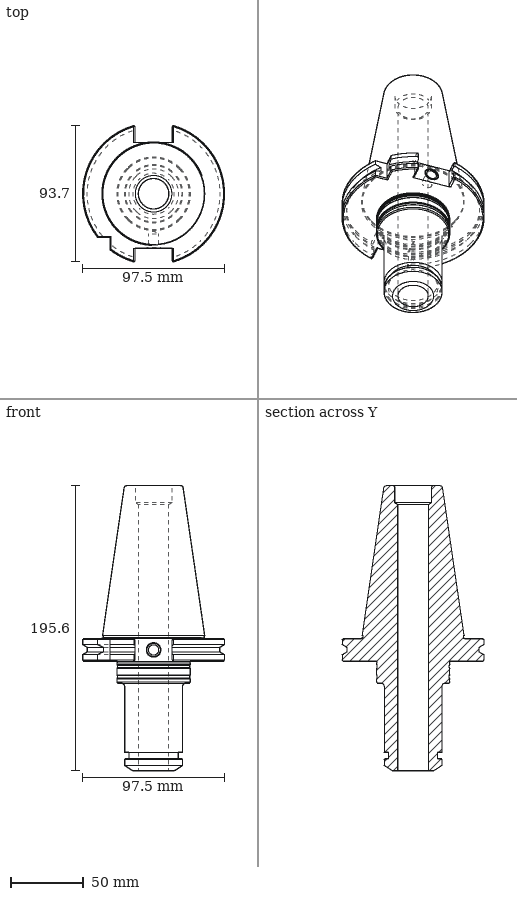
import cadquery as cq
import math


drill_point_angle = 118

overall_length = 195.6
taper_length = 101.7
gauge_diameter = 69.8
taper_rate = 7 / 24
taper_end_fillet = 2.0
neck_diameter = 69.5
neck_fillet = 0.8
taper_overrun = 1.2

flange_diameter = 97.5
flange_top = -3.1
flange_thickness = 15.6
flange_chamfer = 0.8
groove_center = -10.8
groove_floor_width = 3.1
groove_depth = 3.1
groove_half_angle = 30

slot_width = 25.2
slot_chamfer = 1.2
slot_corner_fillet = 0.8
front_slot_floor = 37.4
rear_slot_floor = 35.2
notch_corner = 30.0
notch_chamfer = 0.8

side_hole_diameter = 7.0
side_hole_mouth = 10.0
side_hole_depth = 9.8
side_hole_recess_depth = 0.4

hub_diameter = 50.5
hub_bottom = -33.8
hub_chamfer = 0.8
hub_relief_bottom = -20.0
hub_relief_depth = 0.2
ring_depth = 0.4
ring_floor_width = 1.5
ring_mouth_width = 2.7
ring_centers = (-22.3, -29.3)

shank_diameter = 40.0
shank_fillet = 2.2
neck_groove_diameter = 34.0
neck_groove_top = -81.2
neck_groove_bottom = -85.5
collar_bevel_top = -90.0
collar_chamfer = 0.5
nose_diameter = 28.2

bore_diameter = 20.7
counterbore_diameter = 25.0
counterbore_depth = 11.7
counterbore_fillet = 1.2

bottom = taper_length - overall_length
flange_bottom = flange_top - flange_thickness
flange_radius = flange_diameter / 2
hub_radius = hub_diameter / 2
shank_radius = shank_diameter / 2


def revolve(points):
    """Solid of revolution about Z from (radius, height) points."""
    return cq.Workplane("XZ").polyline(points).close().revolve(360, (0, 0), (0, 1))


def make_taper():
    end_radius = (gauge_diameter - taper_rate * taper_length) / 2
    base_radius = (gauge_diameter + taper_rate * taper_overrun) / 2
    neck_radius = neck_diameter / 2
    taper = (
        cq.Workplane("XZ")
        .moveTo(0, taper_length)
        .lineTo(end_radius, taper_length)
        .lineTo(base_radius, -taper_overrun)
        .lineTo(neck_radius, -taper_overrun)
        .lineTo(neck_radius, flange_top + neck_fillet)
        .radiusArc((neck_radius + neck_fillet, flange_top), -neck_fillet)
        .lineTo(0, flange_top)
        .close()
        .revolve(360, (0, 0), (0, 1))
    )
    return taper.faces(">Z").edges().fillet(taper_end_fillet)


def make_flange():
    flange = (
        cq.Workplane("XY", origin=(0, 0, flange_bottom))
        .circle(flange_radius)
        .extrude(flange_thickness)
        .edges()
        .chamfer(flange_chamfer)
    )
    floor_half = groove_floor_width / 2
    mouth_half = floor_half + groove_depth * math.tan(math.radians(groove_half_angle))
    floor_radius = flange_radius - groove_depth
    groove = revolve([
        (floor_radius, groove_center - floor_half),
        (flange_radius, groove_center - mouth_half),
        (flange_radius, groove_center + mouth_half),
        (floor_radius, groove_center + floor_half),
    ])
    return flange.cut(groove)


def make_drive_slot(side, floor):
    """Slot cutter with chamfered edges; side is -1 for front and +1 for rear."""
    half = slot_width / 2
    rim = math.sqrt(flange_radius ** 2 - half ** 2)
    flare_start = rim - slot_chamfer
    flare = flange_radius - flare_start
    profile = [
        (-half, side * floor),
        (half, side * floor),
        (half, side * flare_start),
        (half + flare, side * flange_radius),
        (-half - flare, side * flange_radius),
        (-half, side * flare_start),
    ]
    slot = (
        cq.Workplane("XY", origin=(0, 0, flange_bottom))
        .polyline(profile)
        .close()
        .extrude(flange_thickness)
    )
    floor_face = "<Y" if side > 0 else ">Y"
    slot = slot.faces(floor_face).edges("|Z").fillet(slot_corner_fillet)

    wide = half + slot_chamfer
    edge_chamfers = (
        cq.Workplane("XZ")
        .polyline([
            (-wide, flange_top),
            (wide, flange_top),
            (half, flange_top - slot_chamfer),
            (half, flange_bottom + slot_chamfer),
            (wide, flange_bottom),
            (-wide, flange_bottom),
            (-half, flange_bottom + slot_chamfer),
            (-half, flange_top - slot_chamfer),
        ])
        .close()
        .extrude(flange_radius - floor)
        .translate((0, flange_radius if side > 0 else -floor, 0))
    )
    return slot.union(edge_chamfers)


def make_notch():
    size = flange_radius - notch_corner
    grown = size + notch_chamfer

    def square(side_length, height):
        return (
            cq.Workplane("XY", origin=(-flange_radius, -flange_radius, height))
            .rect(side_length, side_length, centered=False)
        )

    notch = square(size, flange_bottom).extrude(flange_thickness)
    for height, direction in ((flange_top, -1), (flange_bottom, 1)):
        edge_chamfer = (
            square(grown, height)
            .workplane(offset=direction * notch_chamfer)
            .rect(size, size, centered=False)
            .loft(ruled=True)
        )
        notch = notch.union(edge_chamfer)
    return notch


def make_side_hole():
    radius = side_hole_diameter / 2
    mouth_radius = side_hole_mouth / 2
    point_depth = radius / math.tan(math.radians(drill_point_angle / 2))
    hole = revolve([
        (0, 0),
        (mouth_radius, 0),
        (mouth_radius - side_hole_recess_depth, -side_hole_recess_depth),
        (radius, -side_hole_recess_depth),
        (radius, -side_hole_depth),
        (0, -side_hole_depth - point_depth),
    ])
    middle = flange_top - flange_thickness / 2
    return hole.rotate((0, 0, 0), (1, 0, 0), 90).translate((0, -front_slot_floor, middle))


def make_hub():
    relief_radius = hub_radius - hub_relief_depth
    ring_radius = hub_radius - ring_depth
    hub = revolve([
        (0, hub_bottom),
        (hub_radius - hub_chamfer, hub_bottom),
        (hub_radius, hub_bottom + hub_chamfer),
        (hub_radius, hub_relief_bottom),
        (relief_radius, hub_relief_bottom),
        (relief_radius, flange_bottom),
        (0, flange_bottom),
    ])
    for center in ring_centers:
        ring = revolve([
            (ring_radius, center - ring_floor_width / 2),
            (hub_radius, center - ring_mouth_width / 2),
            (hub_radius, center + ring_mouth_width / 2),
            (ring_radius, center + ring_floor_width / 2),
        ])
        hub = hub.cut(ring)
    return hub


def make_lower_shank():
    groove_radius = neck_groove_diameter / 2
    collar_edge_radius = shank_radius - collar_chamfer
    return (
        cq.Workplane("XZ")
        .moveTo(0, hub_bottom)
        .lineTo(shank_radius + shank_fillet, hub_bottom)
        .radiusArc((shank_radius, hub_bottom - shank_fillet), -shank_fillet)
        .lineTo(shank_radius, neck_groove_top)
        .lineTo(groove_radius, neck_groove_top)
        .lineTo(groove_radius, neck_groove_bottom)
        .lineTo(collar_edge_radius, neck_groove_bottom)
        .lineTo(shank_radius, neck_groove_bottom - collar_chamfer)
        .lineTo(shank_radius, collar_bevel_top)
        .lineTo(collar_edge_radius, collar_bevel_top - collar_chamfer)
        .lineTo(nose_diameter / 2, bottom)
        .lineTo(0, bottom)
        .close()
        .revolve(360, (0, 0), (0, 1))
    )


def make_bore():
    bore_radius = bore_diameter / 2
    counterbore_radius = counterbore_diameter / 2
    cone_height = (counterbore_radius - bore_radius) / math.tan(math.radians(drill_point_angle / 2))
    counterbore_floor = taper_length - counterbore_depth
    return (
        cq.Workplane("XZ")
        .moveTo(0, bottom)
        .lineTo(bore_radius, bottom)
        .lineTo(bore_radius, counterbore_floor - cone_height)
        .lineTo(counterbore_radius, counterbore_floor)
        .lineTo(counterbore_radius, taper_length - counterbore_fillet)
        .radiusArc((counterbore_radius + counterbore_fillet, taper_length), counterbore_fillet)
        .lineTo(0, taper_length)
        .close()
        .revolve(360, (0, 0), (0, 1))
    )


flange = (
    make_flange()
    .cut(make_drive_slot(-1, front_slot_floor))
    .cut(make_drive_slot(1, rear_slot_floor))
    .cut(make_notch())
)
result = (
    make_taper()
    .union(flange)
    .union(make_hub())
    .union(make_lower_shank())
    .cut(make_side_hole())
    .cut(make_bore())
)